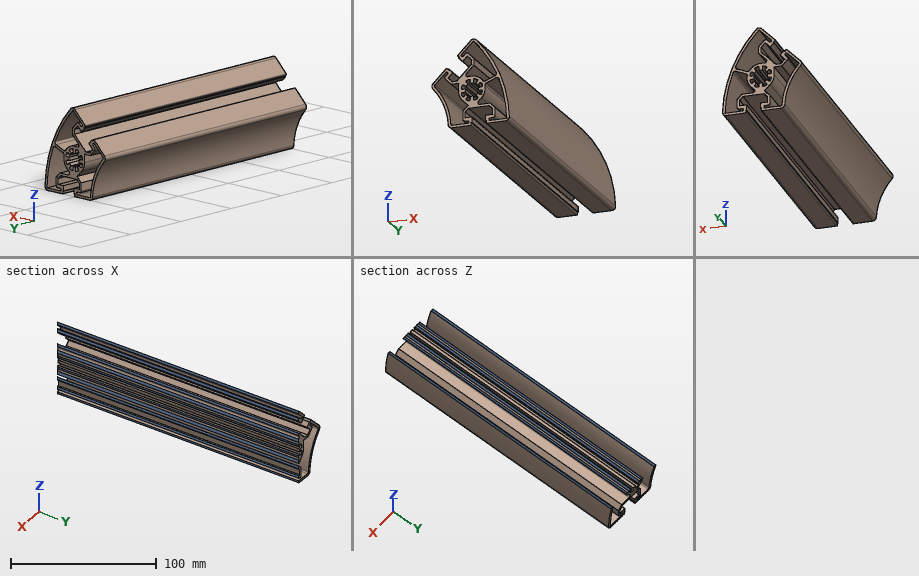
import cadquery as cq
import math

LENGTH = 200.0
SECTOR_ANGLE = 45.0
INNER_RADIUS = 45.0
OUTER_RADIUS = 90.0
FLAT_WALL = 1.8
INNER_WALL = 2.0
OUTER_WALL = 2.0
CORNER_RADIUS = 2.8

SLOT_CENTER = (INNER_RADIUS + OUTER_RADIUS) / 2
SLOT_OPENING = 10.0
MOUTH_STEP = 0.5
MOUTH_DEPTH = 2.0
MOUTH_FILLET = 0.5
SLOT_WIDTH = 20.0
SLOT_DEPTH = 12.5
SLOT_CHAMFER = 2.5
SLOT_WALL = 1.8
LIP_THICKNESS = 6.0
HOOK_HEIGHT = 3.5
HOOK_WEB = 2.5

HOUSING_WIDTH = SLOT_WIDTH + 2 * SLOT_WALL
HOUSING_TOP = SLOT_DEPTH + SLOT_WALL
HOUSING_CHAMFER = SLOT_CHAMFER + SLOT_WALL * (2 - math.sqrt(2))

HUB_RADIUS = 9.8
BORE_RADIUS = 8.0
TOOTH_COUNT = 8
LONG_TOOTH_TIP_RADIUS = 4.8
SHORT_TOOTH_TIP_RADIUS = 5.2
TOOTH_WIDTH = 2.5
GROOVE_FILLET = 0.8
RIB_THICKNESS = 1.8

CHAMBER_FILLET = 1.0
HOOK_FILLET = 0.8
HOUSING_FILLET = 1.5
RIB_FILLET = 1.5
NECK_FILLET = 1.5

BISECTOR = SECTOR_ANGLE / 2
HUB_X = SLOT_CENTER * math.cos(math.radians(BISECTOR))
HUB_Z = SLOT_CENTER * math.sin(math.radians(BISECTOR))


def polar(radius, angle):
    """Point in the XZ section at a radius and an angle from the X axis."""
    return (radius * math.cos(math.radians(angle)), radius * math.sin(math.radians(angle)))


def section():
    return cq.Workplane("XZ")


def extruded(sketch):
    return sketch.extrude(-LENGTH)


def mirrored(body):
    """Reflect a body across the bisector plane of the sector."""
    return body.mirror("XY").rotate((0, 0, 0), (0, 1, 0), -SECTOR_ANGLE)


def with_mirror(body):
    return body.union(mirrored(body))


def sector(inner, outer, inset):
    """Ring sector whose flat faces are moved inwards by the inset."""
    inner_trim = math.degrees(math.asin(inset / inner))
    outer_trim = math.degrees(math.asin(inset / outer))
    return extruded(
        section()
        .moveTo(*polar(inner, inner_trim))
        .lineTo(*polar(outer, outer_trim))
        .threePointArc(polar(outer, BISECTOR), polar(outer, SECTOR_ANGLE - outer_trim))
        .lineTo(*polar(inner, SECTOR_ANGLE - inner_trim))
        .threePointArc(polar(inner, BISECTOR), polar(inner, inner_trim))
        .close()
    )


def block(width, bottom, top):
    """Rectangular bar centred on the lower slot."""
    return extruded(section().center(SLOT_CENTER, (bottom + top) / 2).rect(width, top - bottom))


def chamfered_block(width, bottom, top, chamfer):
    return block(width, bottom, top).edges("|Y and >Z").chamfer(chamfer)


def slot_channel():
    """Lower slot: stepped mouth, opening between the lips, and wide chamfered channel."""
    mouth = block(SLOT_OPENING + 2 * MOUTH_STEP, 0, MOUTH_DEPTH)
    opening = block(SLOT_OPENING, 0, LIP_THICKNESS)
    channel = chamfered_block(SLOT_WIDTH, LIP_THICKNESS, SLOT_DEPTH, SLOT_CHAMFER)
    return mouth.union(opening).union(channel)


def slot_housing():
    """Material around the lower slot, above the open hooks under its lips."""
    housing = chamfered_block(HOUSING_WIDTH, HOOK_HEIGHT, HOUSING_TOP, HOUSING_CHAMFER)
    return housing.union(block(SLOT_OPENING + 2 * HOOK_WEB, 0, HOOK_HEIGHT))


def hub_neck():
    """Neck from the hub to the lower slot, with both sides at 45 degrees and tangent to the hub."""
    tangent = HUB_RADIUS / math.sqrt(2)
    chamfer_offset = HOUSING_TOP - HOUSING_CHAMFER - (SLOT_CENTER - HOUSING_WIDTH / 2)
    tip_z = HUB_Z - 2 * tangent
    rise = (HUB_X + chamfer_offset - tip_z) / 2
    return extruded(
        section()
        .moveTo(HUB_X, HUB_Z)
        .lineTo(HUB_X + tangent, HUB_Z - tangent)
        .lineTo(HUB_X, tip_z)
        .lineTo(HUB_X - 2 * rise, tip_z)
        .lineTo(HUB_X - rise, tip_z + rise)
        .lineTo(HUB_X - tangent, HUB_Z - tangent)
        .close()
    )


def hub_teeth(tip_radius, first_angle):
    """Every second tooth around the hub bore."""
    tooth_length = HUB_RADIUS - tip_radius
    centers = section().center(HUB_X, HUB_Z).polarArray(
        tip_radius + tooth_length / 2, first_angle, 360, TOOTH_COUNT // 2
    )
    return extruded(centers.rect(tooth_length, TOOTH_WIDTH))


def is_groove_corner(edge):
    """True for the lengthwise edges where the teeth meet the round bore."""
    center = edge.Center()
    return math.hypot(center.x - HUB_X, center.z - HUB_Z) > BORE_RADIUS - GROOVE_FILLET


def hub_bore():
    """Round bore with alternating long and short radial teeth left standing."""
    bore = extruded(section().center(HUB_X, HUB_Z).circle(BORE_RADIUS))
    bore = bore.cut(hub_teeth(LONG_TOOTH_TIP_RADIUS, 0))
    bore = bore.cut(hub_teeth(SHORT_TOOTH_TIP_RADIUS, 360 / TOOTH_COUNT))
    return bore.edges("|Y").filter(is_groove_corner).fillet(GROOVE_FILLET)


def outer_rib():
    """Web along the bisector from the hub to the outer curved wall."""
    rib_length = OUTER_RADIUS - SLOT_CENTER
    rib = extruded(section().center(SLOT_CENTER + rib_length / 2, 0).rect(rib_length, RIB_THICKNESS))
    return rib.rotate((0, 0, 0), (0, 1, 0), -BISECTOR)


def round_edge(body, x, z, radius):
    """Fillet the lengthwise edge closest to a point of the section."""
    nearest = cq.NearestToPointSelector((x, LENGTH / 2, z))
    return body.edges("|Y").edges(nearest).fillet(radius)


def round_hook(body, side):
    """Round the chamber under one slot lip; side is +1 outwards, -1 inwards."""
    web_x = SLOT_CENTER + side * (SLOT_OPENING / 2 + HOOK_WEB)
    wall_x = SLOT_CENTER + side * HOUSING_WIDTH / 2
    body = round_edge(body, web_x, HOOK_HEIGHT, HOOK_FILLET)
    body = round_edge(body, web_x, FLAT_WALL, HOOK_FILLET)
    return round_edge(body, wall_x, HOOK_HEIGHT, HOUSING_FILLET)


def outer_chamber(space):
    """Hollow between the lower slot, the rib and the outer wall."""
    chamber = round_hook(space.solids(">X"), 1)
    neck_x = HUB_X + math.sqrt(2) * HUB_RADIUS - (HUB_Z - HOUSING_TOP)
    chamber = round_edge(chamber, neck_x, HOUSING_TOP, NECK_FILLET)
    for radius in (SLOT_CENTER + HUB_RADIUS, OUTER_RADIUS - OUTER_WALL):
        rib_x, rib_z = polar(radius, BISECTOR)
        chamber = round_edge(chamber, rib_x, rib_z - RIB_THICKNESS / 2, RIB_FILLET)
    return chamber


def inner_chamber(space):
    """Hollow between both slots, the hub and the inner wall; symmetric about the bisector."""
    chamber = space.solids("<X")
    for _ in range(2):
        chamber = round_hook(chamber, -1)
        chamber = round_edge(chamber, INNER_RADIUS + INNER_WALL, FLAT_WALL, CHAMBER_FILLET)
        chamber = mirrored(chamber)
    return chamber


def round_mouths(body):
    """Round the outer edges of both slot mouths."""
    half_mouth = SLOT_OPENING / 2 + MOUTH_STEP
    for radius in (SLOT_CENTER - half_mouth, SLOT_CENTER + half_mouth):
        for angle in (0, SECTOR_ANGLE):
            body = round_edge(body, *polar(radius, angle), MOUTH_FILLET)
    return body


body = sector(INNER_RADIUS, OUTER_RADIUS, 0).edges("|Y").fillet(CORNER_RADIUS)
body = round_mouths(body.cut(with_mirror(slot_channel())))

hub = extruded(section().center(HUB_X, HUB_Z).circle(HUB_RADIUS))
core = hub.union(with_mirror(slot_housing().union(hub_neck()))).union(outer_rib())
space = sector(INNER_RADIUS + INNER_WALL, OUTER_RADIUS - OUTER_WALL, FLAT_WALL).cut(core)

result = body.cut(inner_chamber(space)).cut(with_mirror(outer_chamber(space))).cut(hub_bore())